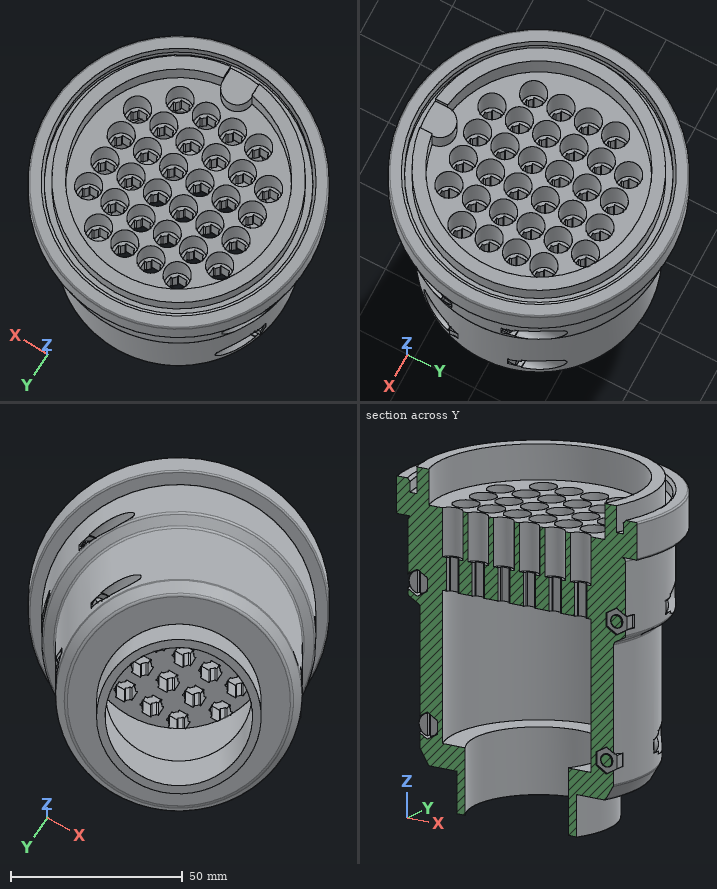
import cadquery as cq
import math

HEIGHT = 103.5
BARREL_BOTTOM = 12.9
SHOULDER_BOTTOM = 61.5
COLLAR_BOTTOM = 88.0
COLLAR_TOP = 99.6
CUP_FLOOR = 92.5
GROOVE_FLOOR = 95.3
PLATE_BOTTOM = 67.3
CHAMBER_BOTTOM = 20.7

STEM_DIA = 48.0
BARREL_DIA = 72.0
SHOULDER_DIA = 80.0
COLLAR_DIA = 88.0
LIP_DIA = 74.0
CUP_DIA = 65.9
GROOVE_DIA = 78.3
CHAMBER_DIA = 57.0
STEM_BORE_DIA = 43.0

BEVEL_ANGLE = 30.0
BARREL_BEVEL_HEIGHT = 5.0
BODY_FILLET = 1.0
COLLAR_FILLET = 0.5
GROOVE_CHAMFER = 0.9

CONTACT_HOLE_DIA = 8.2
CONTACT_PITCH = 9.0
CONTACTS_PER_SIDE = 6
THROAT_TOP = 77.6
THROAT_DIA = 5.8
CROSS_LENGTH = 6.2
CROSS_WIDTH = 3.0

KEY_WIDTH = 9.8
KEY_INNER_END = 27.6
KEY_DROP = 2.2

SCREW_ROWS = [(35.0, 68.1, SHOULDER_DIA), (31.5, 25.2, BARREL_DIA)]
POCKET_DIA = 8.5
POCKET_END = 12.1
SEAT_END = 8.2
HEX_FLATS = 7.0
HEX_CORNERS = HEX_FLATS / math.cos(math.pi / 6)
HEAD_DIA = 6.9
HEAD_HEIGHT = 2.5
HEAD_SLOT_WIDTH = 1.0
HEAD_SLOT_DEPTH = 1.0
NUT_HEIGHT = 2.9
SHANK_DIA = 4.0
SHANK_TIP = 0.7
SHANK_CHAMFER = 0.36


def cylinder(diameter, bottom, top):
    return cq.Workplane("XY").workplane(offset=bottom).circle(diameter / 2).extrude(top - bottom)


def barrel():
    """Barrel and wider shoulder with rounded, bevelled edges."""
    slope = math.tan(math.radians(BEVEL_ANGLE))
    bevel_width = BARREL_BEVEL_HEIGHT * slope
    barrel_radius = BARREL_DIA / 2
    shoulder_radius = SHOULDER_DIA / 2
    shoulder_bevel_top = SHOULDER_BOTTOM + (shoulder_radius - barrel_radius) * slope
    outline = [
        (0, BARREL_BOTTOM),
        (barrel_radius - bevel_width, BARREL_BOTTOM),
        (barrel_radius, BARREL_BOTTOM + BARREL_BEVEL_HEIGHT),
        (barrel_radius, SHOULDER_BOTTOM),
        (shoulder_radius, shoulder_bevel_top),
        (shoulder_radius, COLLAR_BOTTOM),
        (0, COLLAR_BOTTOM),
    ]
    body = cq.Workplane("XZ").polyline(outline).close().revolve(360, (0, 0, 0), (0, 1, 0))
    return body.edges("%CIRCLE").fillet(BODY_FILLET)


def collar():
    """Flange ring with the annular groove around the lip."""
    ring = cylinder(COLLAR_DIA, COLLAR_BOTTOM, COLLAR_TOP).edges().fillet(COLLAR_FILLET)
    groove = cylinder(GROOVE_DIA, GROOVE_FLOOR, COLLAR_TOP)
    ring = ring.cut(groove)
    groove_rim = ring.faces(">Z").edges(cq.selectors.RadiusNthSelector(0))
    return groove_rim.chamfer(GROOVE_CHAMFER)


def key_bar(bottom, top, outer_end):
    """Bar with a round inner end, running outward along -Y."""
    radius = KEY_WIDTH / 2
    center = -(KEY_INNER_END + radius)
    profile = (
        cq.Workplane("XY").workplane(offset=bottom)
        .moveTo(-radius, -outer_end)
        .lineTo(-radius, center)
        .threePointArc((0, -KEY_INNER_END), (radius, center))
        .lineTo(radius, -outer_end)
        .close()
    )
    return profile.extrude(top - bottom)


def contact_hole():
    """Socket on the axis, stepping down to a round throat widened by a cross."""
    hole = cylinder(CONTACT_HOLE_DIA, THROAT_TOP, CUP_FLOOR)
    hole = hole.union(cylinder(THROAT_DIA, PLATE_BOTTOM, THROAT_TOP))
    throat = cq.Workplane("XY").workplane(offset=PLATE_BOTTOM)
    throat_height = THROAT_TOP - PLATE_BOTTOM
    for length, width in [(CROSS_LENGTH, CROSS_WIDTH), (CROSS_WIDTH, CROSS_LENGTH)]:
        hole = hole.union(throat.rect(length, width).extrude(throat_height))
    return hole


def contact_holes():
    middle = (CONTACTS_PER_SIDE - 1) / 2
    points = []
    for column in range(CONTACTS_PER_SIDE):
        for row in range(CONTACTS_PER_SIDE):
            in_corner = abs(column - middle) == middle and abs(row - middle) == middle
            if not in_corner:
                points.append(((column - middle) * CONTACT_PITCH, (row - middle) * CONTACT_PITCH))
    return cq.Workplane("XY").pushPoints(points).eachpoint(contact_hole().val(), combine=True)


def seat_plane(distance, height, depth):
    """Plane at Y = -depth on a screw axis, facing out along -Y."""
    return cq.Workplane(cq.Plane((distance, -depth, height), (1, 0, 0), (0, -1, 0)))


def screw_seat(distance, height, body_dia):
    """Round pocket, hexagonal seat and the side window over the seat's outer flat."""
    seat_length = POCKET_END - SEAT_END
    pocket = seat_plane(distance, height, POCKET_END).circle(POCKET_DIA / 2).extrude(body_dia / 2)
    seat = seat_plane(distance, height, SEAT_END)
    hexagon = seat.transformed(rotate=(0, 0, 30)).polygon(6, HEX_CORNERS).extrude(seat_length)
    window = cq.Workplane("XY").box(
        body_dia / 2 - distance, seat_length, HEX_CORNERS / 2, centered=(False, False, True)
    ).translate((distance, -POCKET_END, height))
    return pocket.union(hexagon).union(window)


def nut(distance, height):
    """Hexagonal nut with the chamfered shank tip."""
    seat = seat_plane(distance, height, SEAT_END)
    body = seat.transformed(rotate=(0, 0, 30)).polygon(6, HEX_CORNERS).extrude(NUT_HEIGHT)
    shank = seat.circle(SHANK_DIA / 2).extrude(NUT_HEIGHT + SHANK_TIP)
    return body.union(shank.faces("<Y").chamfer(SHANK_CHAMFER))


def screw_head(distance, height):
    """Slotted cylindrical head."""
    head = seat_plane(distance, height, SEAT_END).circle(HEAD_DIA / 2).extrude(HEAD_HEIGHT)
    slot_floor = SEAT_END + HEAD_HEIGHT - HEAD_SLOT_DEPTH
    slot = seat_plane(distance, height, slot_floor).rect(HEAD_SLOT_WIDTH, HEAD_DIA).extrude(HEAD_SLOT_DEPTH)
    return head.cut(slot)


def half_turn(shape):
    return shape.rotate((0, 0, 0), (0, 0, 1), 180)


body = cylinder(STEM_DIA, 0, BARREL_BOTTOM).union(barrel()).union(collar())
body = body.union(cylinder(LIP_DIA, GROOVE_FLOOR, HEIGHT))

body = body.cut(cylinder(CUP_DIA, CUP_FLOOR, HEIGHT))
key_top = HEIGHT - KEY_DROP
body = body.union(key_bar(CUP_FLOOR, key_top, (CUP_DIA + LIP_DIA) / 4))
body = body.cut(key_bar(key_top, HEIGHT, LIP_DIA / 2))
body = body.cut(contact_holes())
body = body.cut(cylinder(CHAMBER_DIA, CHAMBER_BOTTOM, PLATE_BOTTOM))
body = body.cut(cylinder(STEM_BORE_DIA, 0, CHAMBER_BOTTOM))

for distance, height, body_dia in SCREW_ROWS:
    right_seat = screw_seat(distance, height, body_dia)
    for seat in (right_seat, right_seat.mirror("YZ")):
        body = body.cut(seat).cut(half_turn(seat))
    front_hardware = [nut(distance, height), screw_head(-distance, height)]
    for piece in front_hardware:
        body = body.union(piece).union(half_turn(piece))

result = body